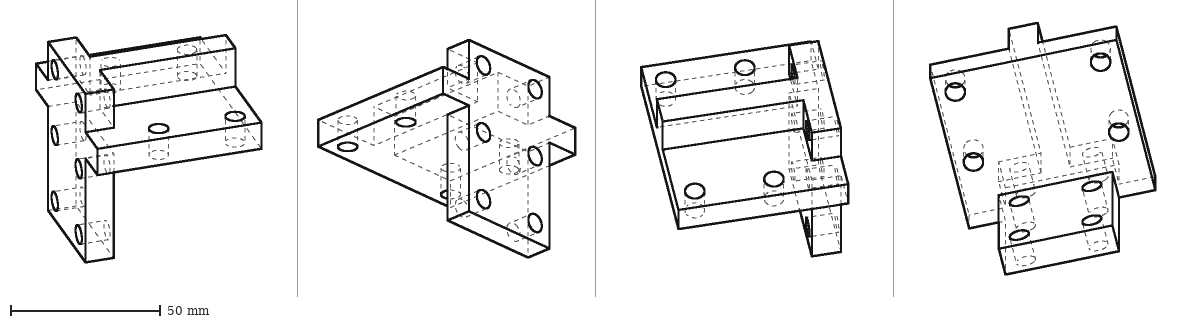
import cadquery as cq

height = 64.0
shelf_width = 64.0
depth = 58.0
plate_width = 39.05
thickness = 10.0
rib_height = 14.5
hole_diameter = 6.5
plate_hole_pitch = 24.95
shelf_hole_span = 49.9
shelf_hole_pitch = 27.0
shelf_hole_back_edge = 7.0

shelf_top = height - rib_height
shelf_bottom = shelf_top - thickness


def block(width, length, bottom, top):
    """Box centred on X, running back from the front face."""
    return (
        cq.Workplane("XY", origin=(0, 0, bottom))
        .rect(width, length)
        .extrude(top - bottom)
        .translate((0, length / 2, 0))
    )


def plate_holes():
    """Two columns of three holes through the front plate."""
    return (
        cq.Workplane("XZ", origin=(0, 0, height / 2))
        .rarray(plate_hole_pitch, plate_hole_pitch, 2, 3)
        .circle(hole_diameter / 2)
        .extrude(-thickness)
    )


def shelf_holes():
    """Two holes through the shelf on each side of the rib."""
    center_y = depth - shelf_hole_back_edge - shelf_hole_pitch / 2
    return (
        cq.Workplane("XY", origin=(0, center_y, shelf_bottom))
        .rarray(shelf_hole_span, shelf_hole_pitch, 2, 2)
        .circle(hole_diameter / 2)
        .extrude(thickness)
    )


plate = block(plate_width, thickness, 0, height)
shelf = block(shelf_width, depth, shelf_bottom, shelf_top)
rib = block(thickness, depth, shelf_top, height)

result = plate.union(shelf).union(rib).cut(plate_holes()).cut(shelf_holes())